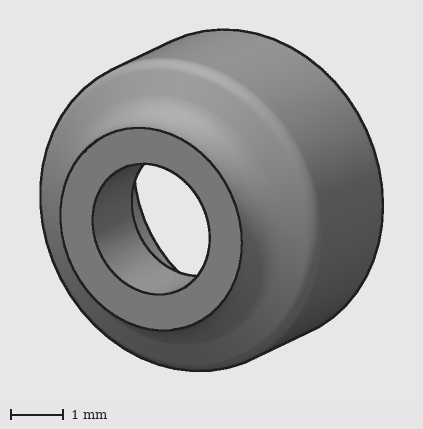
import cadquery as cq
import math

outer_diameter = 6.1
length = 3.76
bore_diameter = 2.55
nose_face_diameter = 3.95
edge_radius = 0.3
rear_to_front_round = 2.56
cone_angle = math.radians(25)
nose_arc_start_diameter = 4.87
rear_recess_diameter = 5.0
rear_recess_depth = 2.25

outer_radius = outer_diameter / 2
bore_radius = bore_diameter / 2
nose_face_radius = nose_face_diameter / 2
nose_arc_start_radius = nose_arc_start_diameter / 2
rear_recess_radius = rear_recess_diameter / 2
recess_floor_y = length - rear_recess_depth
round_start_y = length - rear_to_front_round


def front_round_point(angle):
    """Point (radius, Y) on the front outer round, at an angle from the radial direction."""
    return (
        outer_radius - edge_radius + edge_radius * math.cos(angle),
        round_start_y - edge_radius * math.sin(angle),
    )


round_sweep = math.pi / 2 - cone_angle
cone_start = front_round_point(round_sweep)
cone_end = (
    nose_arc_start_radius,
    cone_start[1] - (cone_start[0] - nose_arc_start_radius) * math.tan(cone_angle),
)

rear_round_mid = (
    outer_radius - edge_radius * (1 - math.sqrt(0.5)),
    length - edge_radius * (1 - math.sqrt(0.5)),
)

half_section = (
    cq.Workplane("XY")
    .moveTo(bore_radius, 0)
    .lineTo(bore_radius, recess_floor_y)
    .lineTo(rear_recess_radius, recess_floor_y)
    .lineTo(rear_recess_radius, length)
    .lineTo(outer_radius - edge_radius, length)
    .threePointArc(rear_round_mid, (outer_radius, length - edge_radius))
    .lineTo(outer_radius, round_start_y)
    .threePointArc(front_round_point(round_sweep / 2), cone_start)
    .lineTo(*cone_end)
    .tangentArcPoint((nose_face_radius, 0), relative=False)
    .close()
)

result = half_section.revolve(360, (0, 0, 0), (0, 1, 0))